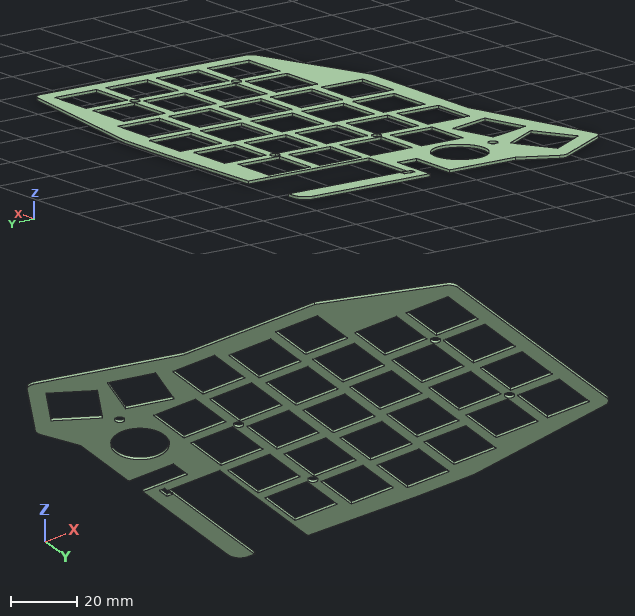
import cadquery as cq

thickness = 1.0

key_size = 15.5
stagger = 2.4
first_key_x = 42.0
last_key_x = 137.4
first_key_y = 100.5
columns = [(4, 0), (5, 1), (5, 2), (5, 1), (4, -1), (4, -1)]
pitch = (last_key_x - first_key_x) / (len(columns) - 1)

thumb_keys = [(18.1, 17.0, 30), (39.2, 22.0, 15)]

screw_diameter = 3
screw_row_spacing = 2
upper_screws = [(52.0, 92.8), (127.7, 88.9)]
thumb_screw = (24.5, 31.5)

opening_diameter = 17.6
opening_center = (21.5, 46.1)

arm_left = 6.5
arm_right = 13.3
arm_top = 116.6
arm_corner_radius = 4.5
bay_bottom = 72.3
bay_right = 32.2
notch_bottom = 61.2
notch_top = 68.4
notch_end = 23.0

slot_width = 2.0
slot_length = 3.9
slot_center = (11.9, 72.8)

plate_right = 150.6
plate_top = 118.8
plate_bottom = 13.1
top_edge_start = 72.5
top_edge_end = 93.1
bottom_edge_start = 61.6
bottom_edge_end = 110.1
bay_corner_y = 117.5
left_edge_bottom = 36.5
corner_radius = 3.3

thumb_left_corner = (-0.5, 22.9)
thumb_bottom_corner = (13.0, -0.6)
right_bottom_corner = (plate_right, 28.3)
right_top_corner = (plate_right, 109.8)
arm_corner = (arm_left, arm_top)


def plate_body():
    outline = [
        thumb_left_corner,
        thumb_bottom_corner,
        (bottom_edge_start, plate_bottom),
        (bottom_edge_end, plate_bottom),
        right_bottom_corner,
        right_top_corner,
        (top_edge_end, plate_top),
        (top_edge_start, plate_top),
        (bay_right, bay_corner_y),
        (bay_right, bay_bottom),
        (arm_right, bay_bottom),
        (arm_right, arm_top),
        arm_corner,
        (arm_left, notch_top),
        (notch_end, notch_top),
        (notch_end, notch_bottom),
        (arm_left, notch_bottom),
        (arm_left, left_edge_bottom),
    ]
    body = cq.Workplane("XY").polyline(outline).close().extrude(thickness)
    for corner in (thumb_left_corner, thumb_bottom_corner, right_bottom_corner, right_top_corner):
        body = round_corner(body, corner, corner_radius)
    return round_corner(body, arm_corner, arm_corner_radius)


def round_corner(body, corner, radius):
    x, y = corner
    edge = cq.selectors.NearestToPointSelector((x, y, thickness / 2))
    return body.edges("|Z").edges(edge).fillet(radius)


def grid_key_centers():
    centers = []
    for column, (row_count, steps) in enumerate(columns):
        x = first_key_x + column * pitch
        top_y = first_key_y + steps * stagger
        for row in range(row_count):
            centers.append((x, top_y - row * pitch))
    return centers


def screw_centers():
    lower_screws = [(x, y - screw_row_spacing * pitch) for x, y in upper_screws]
    return upper_screws + lower_screws + [thumb_screw]


def rectangles(centers, width, length):
    return cq.Workplane("XY").pushPoints(centers).rect(width, length).extrude(thickness)


def cylinders(centers, diameter):
    return cq.Workplane("XY").pushPoints(centers).circle(diameter / 2).extrude(thickness)


def thumb_key_cutter(x, y, angle):
    key = rectangles([(0, 0)], key_size, key_size)
    return key.rotate((0, 0, 0), (0, 0, 1), angle).translate((x, y, 0))


result = plate_body()
result = result.cut(rectangles(grid_key_centers(), key_size, key_size))
for thumb_key in thumb_keys:
    result = result.cut(thumb_key_cutter(*thumb_key))
result = result.cut(cylinders(screw_centers(), screw_diameter))
result = result.cut(cylinders([opening_center], opening_diameter))
result = result.cut(rectangles([slot_center], slot_width, slot_length))